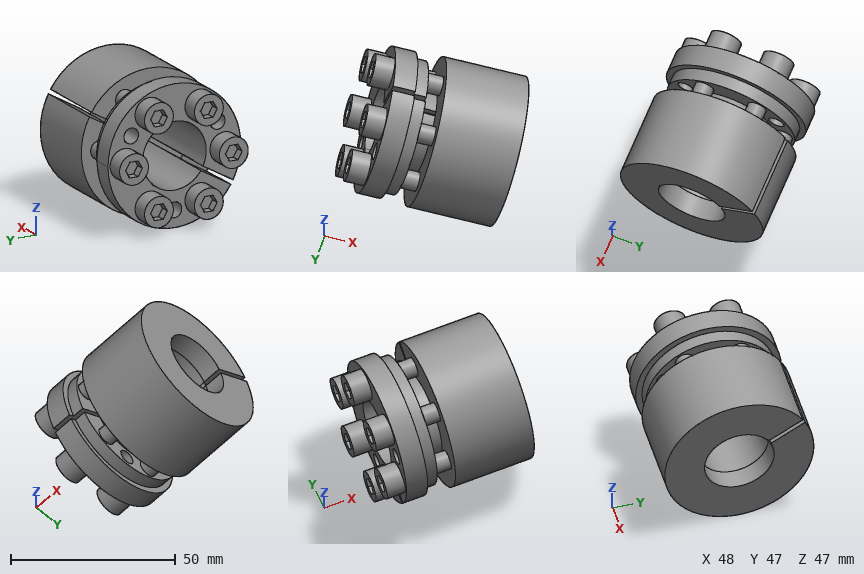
import cadquery as cq
import math

head_length = 6.0
flange_length = 7.0
collar_length = 4.0
gap_length = 5.0
ring_length = 26.0

flange_x = head_length
collar_x = flange_x + flange_length
hub_x = collar_x + collar_length
ring_x = hub_x + gap_length
end_x = ring_x + ring_length

ring_diameter = 47.0
flange_diameter = 46.0
collar_diameter = 42.0
bore_diameter = 22.0

hub_root_diameter = 27.1
taper_angle = 6.0
taper_slope = math.tan(math.radians(taper_angle))
hub_length = (hub_root_diameter - bore_diameter) / 2 / taper_slope

slit_width = 1.5
hub_slit_angle = 210
ring_slit_angle = 30

pitch_radius = 17.3
screw_count = 6
screw_angles = [index * 360 / screw_count for index in range(screw_count)]
head_diameter = 10.0
shank_diameter = 6.0
shank_length = 25.0
socket_flats = 5.0
socket_depth = 3.0
jack_hole_diameter = 5.05
jack_hole_angles = [30, 150, 270]


def rod(start_x, length, diameter):
    """Cylinder on the clamp axis."""
    return cq.Workplane("YZ", origin=(start_x, 0, 0)).circle(diameter / 2).extrude(length)


def on_pitch_circle(body, angle):
    """Move a body from the clamp axis to an angle on the pitch circle."""
    turn = math.radians(angle)
    return body.translate((0, pitch_radius * math.cos(turn), pitch_radius * math.sin(turn)))


def slit(angle):
    """Cutter for a radial slit that runs the full length of the clamp."""
    return (
        cq.Workplane("XY")
        .box(end_x, ring_diameter, slit_width, centered=(False, False, True))
        .rotate((0, 0, 0), (1, 0, 0), angle)
    )


def hub_taper():
    """Solid cone from the collar face down to the bore diameter."""
    return (
        cq.Workplane("XY")
        .moveTo(hub_x, 0)
        .lineTo(hub_x, hub_root_diameter / 2)
        .lineTo(hub_x + hub_length, bore_diameter / 2)
        .lineTo(hub_x + hub_length, 0)
        .close()
        .revolve(360, (0, 0, 0), (1, 0, 0))
    )


def make_screw(angle):
    """Socket head screw at an angle on the pitch circle."""
    socket_corners = socket_flats / math.cos(math.pi / 6)
    socket = cq.Workplane("YZ").polygon(6, socket_corners).extrude(socket_depth)
    head = rod(0, head_length, head_diameter).cut(socket)
    screw = head.union(rod(flange_x, shank_length, shank_diameter))
    return on_pitch_circle(screw, angle)


def cut_screw_holes(body):
    """Cut a hole that matches each screw shank."""
    for angle in screw_angles:
        body = body.cut(on_pitch_circle(rod(flange_x, shank_length, shank_diameter), angle))
    return body


def make_inner_hub():
    """Slit flange and collar with a tapered hub, bored through."""
    hub = rod(flange_x, flange_length, flange_diameter)
    hub = hub.union(rod(collar_x, collar_length, collar_diameter))
    hub = hub.union(hub_taper())
    hub = hub.cut(rod(flange_x, end_x - flange_x, bore_diameter))
    hub = cut_screw_holes(hub)
    for angle in jack_hole_angles:
        jack_hole = rod(flange_x, flange_length + collar_length, jack_hole_diameter)
        hub = hub.cut(on_pitch_circle(jack_hole, angle))
    return hub.cut(slit(hub_slit_angle))


def make_outer_ring():
    """Slit clamping ring whose bore matches the hub taper."""
    ring = rod(ring_x, ring_length, ring_diameter)
    ring = ring.cut(rod(ring_x, ring_length, bore_diameter))
    ring = ring.cut(hub_taper())
    ring = cut_screw_holes(ring)
    return ring.cut(slit(ring_slit_angle))


inner_hub = make_inner_hub()
outer_ring = make_outer_ring()
screws = [make_screw(angle) for angle in screw_angles]

result = cq.Compound.makeCompound(
    [inner_hub.val(), outer_ring.val(), *[screw.val() for screw in screws]]
)